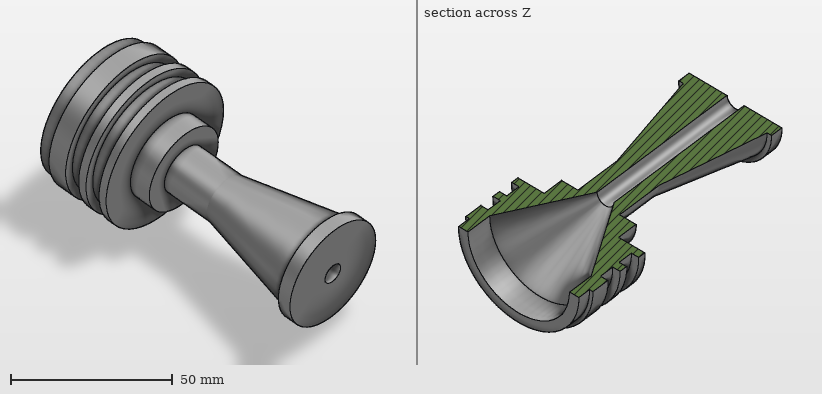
import cadquery as cq
import math

total_length = 101.0
body_diameter = 52.8
front_lip_diameter = 50.0
groove_diameter = 46.8
shoulder_diameter = 31.0
neck_diameter = 17.5
flare_end_diameter = 34.8
end_flange_diameter = 38.6

front_lip_length = 4.9
front_land_length = 7.1
groove_length = 5.6
middle_land_length = 3.1
rear_land_length = 3.0
shoulder_length = 8.1
neck_length = 18.2
end_flange_length = 4.9

chamber_diameter = 42.0
chamber_depth = 10.1
funnel_half_angle = 30.0
throat_diameter = 7.0


def disc(start, diameter, length):
    """Cylinder along +X beginning at the given X position."""
    return cq.Workplane("YZ", origin=(start, 0, 0)).circle(diameter / 2).extrude(length)


def cone(start, start_diameter, end_diameter, length):
    """Cone frustum along +X beginning at the given X position."""
    profile = [
        (start, 0),
        (start, start_diameter / 2),
        (start + length, end_diameter / 2),
        (start + length, 0),
    ]
    return cq.Workplane("XY").polyline(profile).close().revolve(360, (0, 0, 0), (1, 0, 0))


steps = [
    (front_lip_diameter, front_lip_length),
    (body_diameter, front_land_length),
    (groove_diameter, groove_length),
    (body_diameter, middle_land_length),
    (groove_diameter, groove_length),
    (body_diameter, rear_land_length),
    (shoulder_diameter, shoulder_length),
    (neck_diameter, neck_length),
]
position = 0.0
outside = cq.Workplane("YZ")
for diameter, length in steps:
    outside = outside.union(disc(position, diameter, length))
    position += length

flange_start = total_length - end_flange_length
flare_length = flange_start - position
outside = outside.union(cone(position, neck_diameter, flare_end_diameter, flare_length))
outside = outside.union(disc(flange_start, end_flange_diameter, end_flange_length))

chamber = disc(0, chamber_diameter, chamber_depth)
funnel_length = (chamber_diameter - throat_diameter) / 2 / math.tan(math.radians(funnel_half_angle))
funnel = cone(chamber_depth, chamber_diameter, throat_diameter, funnel_length)
throat = disc(0, throat_diameter, total_length)

result = outside.cut(chamber).cut(funnel).cut(throat)